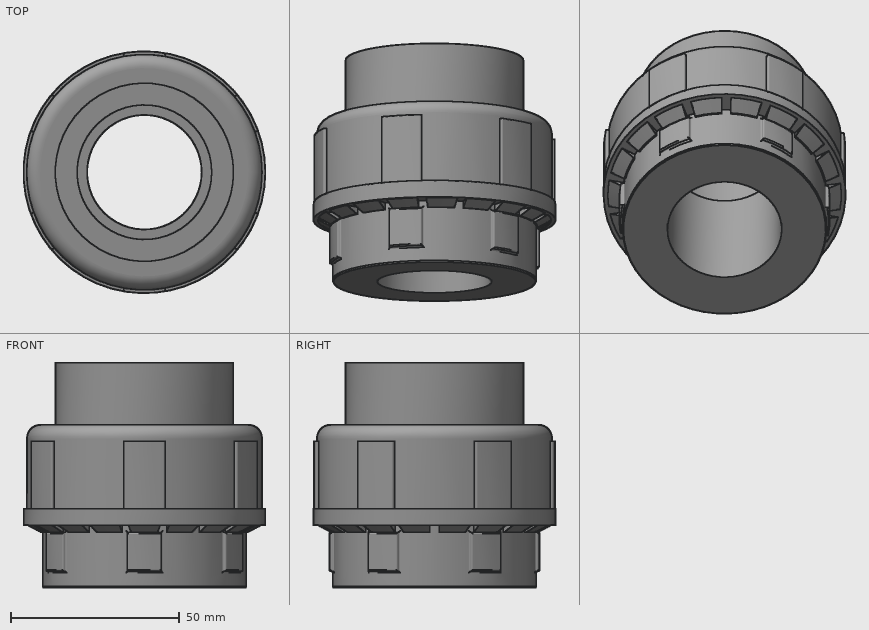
import cadquery as cq
import math

total_height = 67.0
collar_radius = 36.0
nut_radius = 70.0 / 2
spigot_radius = 53.0 / 2
body_radius = 60.6 / 2

collar_bottom = 18.65
collar_top = 23.6
nut_top = 48.5
nut_edge_fillet = 4.0
body_chamfer_height = 0.5
body_chamfer_width = 0.25

tolerance = 0.01

socket_radius = 40.0 / 2
socket_depth = 26.0
bore_radius = 34.0 / 2

pad_count = 6
pad_angle_step = 360 / pad_count
first_pad_angle = -90
pad_overlap = 2.15

nut_pad_radius = 35.9
nut_pad_top = 43.6
nut_pad_width = 12.3
nut_pad_edge_fillet = 0.6

body_pad_radius = 31.3
body_pad_width = 10.15
body_pad_bottom = 5.0
body_pad_top = 16.55
body_pad_edge_fillet = 0.47
body_pad_foot_fillet = 0.5

tooth_count = 18
tooth_angle_step = 360 / tooth_count
first_gap_angle = first_pad_angle + tooth_angle_step / 2
tooth_bottom = 16.55
tooth_outer_radius = 34.7
tooth_tip_radius = 30.7
tooth_gap_width = 2.7


def cylinder(radius, bottom, top):
    return cq.Workplane("XY").workplane(offset=bottom).circle(radius).extrude(top - bottom)


def turned(shape, angle):
    return shape.rotate((0, 0, 0), (0, 0, 1), angle)


def round_pattern(pad):
    """Solid holding one copy of the pad for every pad position around the axis."""
    pads = turned(pad, first_pad_angle)
    for i in range(1, pad_count):
        pads = pads.union(turned(pad, first_pad_angle + i * pad_angle_step))
    return pads


def curved_pad(wall_radius, face_radius, width, bottom, top):
    """Pad on the +X side: parallel sides, and a face that follows a cylinder about the axis."""
    inner_x = wall_radius - pad_overlap
    block = cq.Workplane("XY").box(
        face_radius - inner_x, width, top - bottom, centered=(False, True, False)
    )
    return block.translate((inner_x, 0, bottom)).intersect(cylinder(face_radius, bottom, top))


def is_pad_foot(edge):
    """True for an edge where a body pad meets the body wall."""
    ends = [edge.startPoint(), edge.endPoint()]
    ends_on_wall = all(abs(math.hypot(end.x, end.y) - body_radius) < tolerance for end in ends)
    ends_on_pad = all(
        body_pad_bottom - tolerance < end.z < body_pad_top + tolerance for end in ends
    )
    return ends_on_wall and ends_on_pad


def make_body():
    """Lower body with its pads; each pad has a rounded face edge and a fillet at its foot."""
    body = cylinder(body_radius, 0, collar_top)
    body = body.faces("<Z").edges().chamfer(body_chamfer_height, body_chamfer_width)
    pad = curved_pad(body_radius, body_pad_radius, body_pad_width, body_pad_bottom, body_pad_top)
    pad = pad.faces(">X").edges().fillet(body_pad_edge_fillet)
    body = body.union(round_pattern(pad))
    pad_foot_edges = [edge for edge in body.edges().vals() if is_pad_foot(edge)]
    return body.newObject(pad_foot_edges).fillet(body_pad_foot_fillet)


def make_nut():
    """Union nut: rounded top edge, collar at the bottom and pads up the side."""
    nut = cylinder(nut_radius, collar_bottom, nut_top).faces(">Z").edges().fillet(nut_edge_fillet)
    nut = nut.union(cylinder(collar_radius, collar_bottom, collar_top))
    pad = curved_pad(nut_radius, nut_pad_radius, nut_pad_width, collar_bottom, nut_pad_top)
    pad = pad.faces(">X").edges("|Z").fillet(nut_pad_edge_fillet)
    return nut.union(round_pattern(pad))


def make_teeth():
    """Cone-shaped ring under the collar, cut into teeth."""
    root_radius = body_radius - pad_overlap
    ring_profile = [
        (root_radius, tooth_bottom),
        (tooth_tip_radius, tooth_bottom),
        (tooth_outer_radius, collar_bottom),
        (root_radius, collar_bottom),
    ]
    ring = cq.Workplane("XZ").polyline(ring_profile).close().revolve(360, (0, 0, 0), (0, 1, 0))
    gap = cq.Workplane("XY").box(
        collar_radius, tooth_gap_width, collar_bottom - tooth_bottom, centered=(False, True, False)
    )
    gap = gap.translate((0, 0, tooth_bottom))
    for i in range(tooth_count):
        ring = ring.cut(turned(gap, first_gap_angle + i * tooth_angle_step))
    return ring


spigot = cylinder(spigot_radius, collar_top, total_height)
result = make_body().union(make_teeth()).union(make_nut()).union(spigot)
result = result.cut(cylinder(bore_radius, 0, total_height))
result = result.cut(cylinder(socket_radius, total_height - socket_depth, total_height))